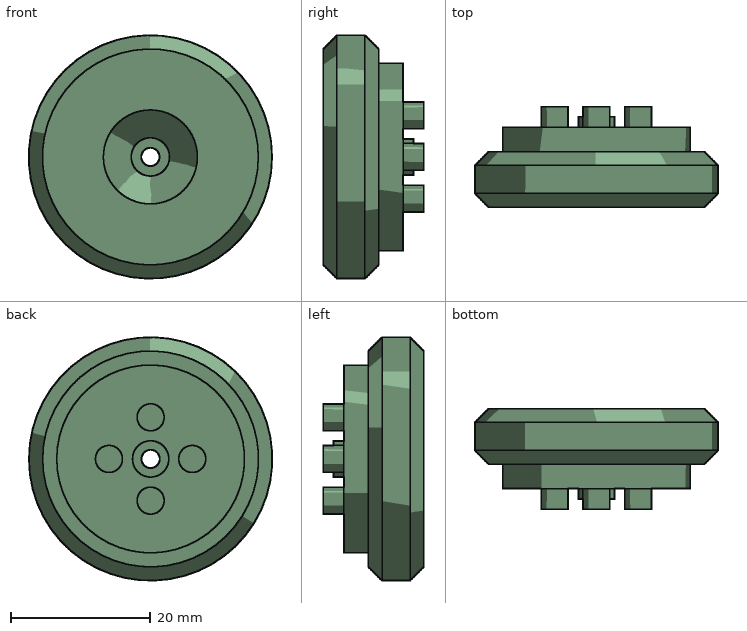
import cadquery as cq

rim_diameter = 35
rim_thickness = 8.0
rim_chamfer = 2.0

plate_diameter = 27.0
plate_thickness = 3.5
plate_rear = rim_thickness + plate_thickness

hub_diameter = 5.2
hub_height = 1.5
pin_diameter = 3.9
pin_height = 2.98
pin_count = 4
pin_circle_radius = 6.0

mouth_diameter = 13.5
bore_diameter = 5.5
mouth_depth = (mouth_diameter - bore_diameter) / 2
bore_depth = rim_thickness
hole_diameter = 2.6


def cylinder(diameter, start, length):
    """Cylinder on the Y axis running toward +Y from the given start."""
    plane = cq.Workplane("XZ", origin=(0, start, 0))
    return plane.circle(diameter / 2).extrude(-length)


rim = cylinder(rim_diameter, 0, rim_thickness).edges().chamfer(rim_chamfer)
plate = cylinder(plate_diameter, rim_thickness, plate_thickness)
hub = cylinder(hub_diameter, plate_rear, hub_height)
body = rim.union(plate).union(hub)

pins = (
    cq.Workplane("XZ", origin=(0, plate_rear, 0))
    .polarArray(pin_circle_radius, 0, 360, pin_count)
    .circle(pin_diameter / 2)
    .extrude(-pin_height)
)

mouth = cq.Workplane(
    cq.Solid.makeCone(
        mouth_diameter / 2,
        bore_diameter / 2,
        mouth_depth,
        pnt=cq.Vector(0, 0, 0),
        dir=cq.Vector(0, 1, 0),
    )
)
bore = cylinder(bore_diameter, 0, bore_depth)
hole = cylinder(hole_diameter, 0, plate_rear + hub_height)

result = body.union(pins).cut(mouth).cut(bore).cut(hole)